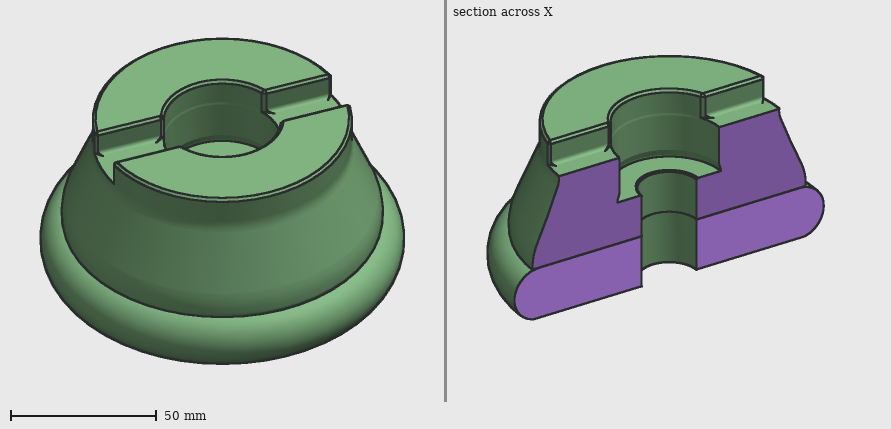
import cadquery as cq
import math

total_height = 63.0
rim_bottom_z = 20.6
rim_top_z = 21.1
neck_z = 53.0
slot_floor_z = 53.8
bore_step_z = 52.9
relief_z = 39.2
relief_land_z = 36.9
bore_floor_z = 36.2

outer_radius = 62.5
rim_radius = 110.4 / 2
seat_radius = 55.0
neck_radius = 89.0 / 2
upper_bore_radius = 40.2 / 2
lower_bore_radius = 40.0 / 2
relief_radius = 20.8
screw_hole_radius = 22.0 / 2

neck_blend_radius = 10.0
rim_blend_radius = 20.0
bead_radius = 10.1
bead_center_z = 9.9
slot_width = 16.0
slot_fillet = 1.5
edge_chamfer = 1.0
hole_chamfer = 0.5

bead_top_z = bead_center_z + bead_radius
bead_center_radius = outer_radius - bead_radius
base_radius = bead_center_radius + math.sqrt(bead_radius**2 - bead_center_z**2)


def bead_z_at(radius):
    """Height of the upper side of the round bead at a radius."""
    return bead_center_z + math.sqrt(bead_radius**2 - (radius - bead_center_radius) ** 2)


def make_ring():
    """Flat disc with a full-round rim and a central screw hole."""
    return (
        cq.Workplane("XZ")
        .moveTo(screw_hole_radius, 0)
        .lineTo(base_radius, 0)
        .threePointArc((outer_radius, bead_center_z), (bead_center_radius, bead_top_z))
        .lineTo(screw_hole_radius, bead_top_z)
        .close()
        .revolve(360, (0, 0, 0), (0, 1, 0))
    )


def make_holder_blank():
    """Turned body: a cone joined to the neck and rim by tangent arcs, seated on the bead."""
    rise = neck_z - rim_top_z
    blend_sum = neck_blend_radius + rim_blend_radius
    center_gap = blend_sum - (rim_radius - neck_radius)
    flank_length = math.sqrt(rise**2 + center_gap**2 - blend_sum**2)
    flank_angle = math.atan2(rise, center_gap) - math.atan2(flank_length, blend_sum)
    seat_middle_radius = (bead_center_radius + seat_radius) / 2

    def neck_point(angle):
        return (
            neck_radius + neck_blend_radius * (1 - math.cos(angle)),
            neck_z - neck_blend_radius * math.sin(angle),
        )

    def rim_point(angle):
        return (
            rim_radius - rim_blend_radius * (1 - math.cos(angle)),
            rim_top_z + rim_blend_radius * math.sin(angle),
        )

    return (
        cq.Workplane("XZ")
        .moveTo(0, bead_top_z)
        .lineTo(bead_center_radius, bead_top_z)
        .threePointArc((seat_middle_radius, bead_z_at(seat_middle_radius)), (seat_radius, bead_z_at(seat_radius)))
        .lineTo(rim_radius, rim_bottom_z)
        .lineTo(rim_radius, rim_top_z)
        .threePointArc(rim_point(flank_angle / 2), rim_point(flank_angle))
        .lineTo(*neck_point(flank_angle))
        .threePointArc(neck_point(flank_angle / 2), (neck_radius, neck_z))
        .lineTo(neck_radius, total_height)
        .lineTo(0, total_height)
        .close()
        .revolve(360, (0, 0, 0), (0, 1, 0))
    )


def make_bore():
    """Stepped bore with a flared relief above its floor and a screw hole below."""
    return (
        cq.Workplane("XZ")
        .moveTo(0, bead_top_z)
        .lineTo(screw_hole_radius, bead_top_z)
        .lineTo(screw_hole_radius, bore_floor_z - hole_chamfer)
        .lineTo(screw_hole_radius + hole_chamfer, bore_floor_z)
        .lineTo(relief_radius, bore_floor_z)
        .lineTo(relief_radius, relief_land_z)
        .lineTo(lower_bore_radius, relief_z)
        .lineTo(lower_bore_radius, bore_step_z)
        .lineTo(upper_bore_radius, slot_floor_z)
        .lineTo(upper_bore_radius, total_height)
        .lineTo(0, total_height)
        .close()
        .revolve(360, (0, 0, 0), (0, 1, 0))
    )


def make_slot():
    """Square-cornered drive slot along Y, open at the top."""
    depth = total_height - slot_floor_z
    return (
        cq.Workplane("XY")
        .workplane(offset=slot_floor_z)
        .rect(slot_width, 2 * outer_radius)
        .extrude(depth)
    )


def make_holder():
    """Bored and slotted body with chamfered jaws and rounded slot corners."""
    body = make_holder_blank().cut(make_bore()).cut(make_slot())
    top_edges = body.faces(">Z").edges()
    corner_edges = body.edges("|Z").edges(cq.selectors.BoxSelector(
        (-slot_width, -outer_radius, slot_floor_z),
        (slot_width, outer_radius, total_height),
    ))
    body = top_edges.add(corner_edges).chamfer(edge_chamfer)
    slot_corners = body.edges("|Y").edges(cq.selectors.BoxSelector(
        (-slot_width, -outer_radius, slot_floor_z - slot_fillet / 2),
        (slot_width, outer_radius, slot_floor_z + slot_fillet / 2),
    ))
    return slot_corners.fillet(slot_fillet)


ring = make_ring()
holder = make_holder()

result = cq.Compound.makeCompound([ring.val(), holder.val()])